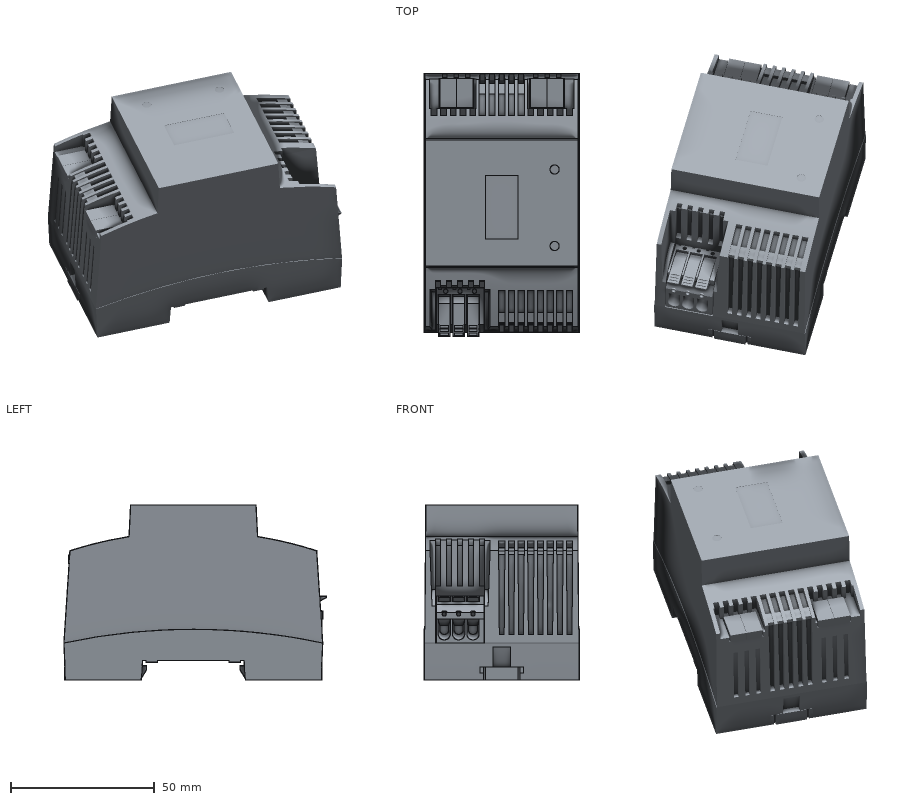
import cadquery as cq
import math

LENGTH = 91.45
HEIGHT = 60.99
BASE_HALF_X = 27.0
SEAM_HALF_Y = 45.05
BOTTOM_HALF_Y = 44.5
SEAM_Z = 12.9
SEAM_CROWN_Z = 17.7
COVER_HALF_X_LOW = 26.83
COVER_HALF_X_TOP = 26.45
RIDGE_HALF_Y = 42.95
RIDGE_Z = 45.0
SHOULDER_HALF_Y = 22.4
SHOULDER_Z = 49.95
TOP_HALF_Y = 21.85
SHOULDER_DROP = SHOULDER_Z - RIDGE_Z
SHOULDER_AXIS_Z = (SHOULDER_Z + RIDGE_Z) / 2 - (
    (RIDGE_HALF_Y**2 - SHOULDER_HALF_Y**2) / (2 * SHOULDER_DROP))
SHOULDER_RADIUS = math.hypot(RIDGE_HALF_Y, RIDGE_Z - SHOULDER_AXIS_Z)
CLEAR = 6.0

RAIL_HALF_Y_BOTTOM = 18.1
RAIL_HALF_Y_TOP = 17.6
RAIL_ROOF_Z = 6.75
PAD_INNER_Y = 12.4
PAD_OUTER_Y = 16.5
PAD_DROP = 0.55
LATCH_HALF_X = 5.6
LATCH_GAP = 0.7
LATCH_EAR_HALF_X = 7.6
LATCH_EAR_Z = 2.4
LATCH_Z = 4.6
LATCH_FACE_Y = 44.85
LATCH_GAP_FLOOR_Y = 43.8
HOOK_TIP_Y = 16.2
HOOK_LOW_Z = 0.6
HOOK_KNEE_Z = 3.6
HOOK_TOP_Z = 5.0
TOOL_SLOT_HALF_X = 3.0
TOOL_SLOT_TOP_Z = 11.6
TOOL_SLOT_LIP = 0.3
TOOL_SLOT_DEPTH = 2.3

MARK_DEPTH = 0.1
WINDOW_X, WINDOW_Y = 11.4, 22.0
WINDOW_CENTER_Y = -1.5
LAMP_X = 18.4
LAMP_YS = (11.65, -14.95)
LAMP_DIAMETER = 3.2

VENT_PITCH = 3.37
FRONT_VENT_COUNT = 8
BACK_VENT_COUNT = 5
VENT_WIDTH_TOP = 2.2
VENT_WIDTH_LOW = 1.7
VENT_START_Y = 30.5
VENT_BOTTOM_Z = 15.9
VENT_SHOULDER_DEPTH = 2.2
BAR_INNER_Y, BAR_INNER_Z = 38.0, 45.9
BAR_OUTER_Y, BAR_OUTER_Z = 41.6, 44.9
BAR_LOW_Y, BAR_LOW_Z = 41.7, 43.7
VENT_FLOOR_TOP_Y = 40.9
VENT_FLOOR_LOW_Y = 42.4

BAY_CENTER_X = -14.5
BAY_HALF_X_TOP = 10.45
BAY_HALF_X_LOW = 9.75
BAY_BACK_TOP_Y = -30.0
BAY_BACK_LOW_Y = -31.0
LEDGE_BACK_Z = 31.5
LEDGE_MID_Y, LEDGE_MID_Z = -39.5, 29.6
LEDGE_FRONT_Y, LEDGE_FRONT_Z = -44.5, 25.4
CORE_HALF_X = 8.58
CORE_BACK_TOP_Y = -28.6
CORE_BACK_LOW_Y = -29.6
COMB_COUNT = 5
COMB_PITCH = 3.82
COMB_WIDTH = 1.8
COMB_BACK_Y = -26.9
COMB_STEP_Z = 46.8
COMB_STEP_DEPTH = 0.35
COMB_FLOOR_Z = 32.7

PLUG_HALF_X = 8.28
PLUG_TOP_Z = 29.3
PLUG_BROW_Y = -42.3
PLUG_BROW_Z = 26.3
PLUG_NOSE_Y = -45.1
PLUG_NOSE_TOP_Z = 23.6
PLUG_NOSE_LOW_Z = 21.2
PLUG_FACE_Y = -44.8
POLE_PITCH = 5.0
POLE_CENTER_X = -15.0
POLE_COUNT = 3

LEVER_WIDTH = 4.0
LEVER_GAP = 0.25
LEVER_HEEL = 0.55
LEVER_POCKET_BACK_Y = -31.8
LEVER_POCKET_DEPTH = 2.0
LEVER_FLAT_START_Y = -35.0
LEVER_BACK_Z = 28.2
LEVER_TOP_Z = 29.2
LEVER_TIP_Y = SEAM_HALF_Y - LENGTH
LEVER_TIP_Z = 28.8
LEVER_ROOT_Y = -43.8
GRIP_WIDTH = 2.9
GRIP_DEPTH = 0.35
GRIP_LENGTH = 0.8
GRIP_PITCH = 1.3
GRIP_FIRST_Y = -43.0
GRIP_COUNT = 3

TEST_Z = 22.95
TEST_BOSS_RADIUS = 1.15
TEST_BOSS_LENGTH = 1.6
TEST_HOLE_DIAMETER = 1.4
TEST_HOLE_DEPTH = 2.0
TOP_HOLE_DIAMETER = 1.5
TOP_HOLE_DEPTH = 2.0
TOP_HOLE_Y = -30.7
TOP_HOLE_SHIFT_X = 0.5
NOTCH_WIDTH, NOTCH_LENGTH, NOTCH_DEPTH = 1.0, 0.5, 0.5
NOTCH_SHIFT_X = -1.5

FUNNEL_WIDTH, FUNNEL_LOW_Z, FUNNEL_TOP_Z = 4.3, 14.0, 21.2
THROAT_WIDTH, THROAT_LOW_Z, THROAT_TOP_Z = 3.1, 15.9, 19.0
FUNNEL_DEPTH = 4.0

BACK_BAY_X = (9.0, 25.1)
BACK_BAY_Y = 32.9
BACK_BAY_FLOOR_Z = 42.5
BACK_COMB_FIRST = 3
BACK_COMB_COUNT = 5
BACK_COMB_WIDTH = 2.0
BACK_KEY_X = (10.0, 21.5)
BACK_KEY_Y = (33.25, 43.35)
BACK_KEY_TOP_Z = 43.6
BACK_KEY_GAP = 0.1
BACK_MOAT_WIDTH = 0.3
BACK_MOAT_DEPTH = 2.0
BACK_GROOVE_CENTER_X = 15.8
BACK_GROOVE_PITCH = 4.0
BACK_GROOVE_COUNT = 3
BACK_GROOVE_WIDTH = 1.6
BACK_GROOVE_FLOOR_Y = 43.3
BACK_GROOVE_Z = (15.9, 35.5)


def box(x_range, y_range, z_range):
    """Axis-aligned box given by its limits."""
    (x0, x1), (y0, y1), (z0, z1) = x_range, y_range, z_range
    return cq.Workplane("XY").box(x1 - x0, y1 - y0, z1 - z0, centered=False).translate((x0, y0, z0))


def centered(middle, width):
    """Limits of a span given by its middle and width."""
    return (middle - width / 2, middle + width / 2)


def prism_x(x_range, outline):
    """Closed YZ outline swept along X between two limits."""
    x0, x1 = x_range
    return outline.close().extrude(x1 - x0).translate((x0, 0, 0))


def yz(y, z):
    return cq.Workplane("YZ").moveTo(y, z)


def spaced(count, pitch, center=0.0):
    """Evenly spaced positions about a center."""
    return [center + (i - (count - 1) / 2) * pitch for i in range(count)]


def shoulder_z(y, depth=0.0):
    """Height of the curved shoulder, or of a surface a given depth under it."""
    return SHOULDER_AXIS_Z + math.sqrt((SHOULDER_RADIUS - depth)**2 - y**2)


def mirror_y(solid):
    return solid.mirror("XZ")


def mirror_x(solid):
    return solid.mirror("YZ")


def make_base():
    outline = (yz(-BOTTOM_HALF_Y, 0).lineTo(-SEAM_HALF_Y, SEAM_Z)
               .threePointArc((0, SEAM_CROWN_Z), (SEAM_HALF_Y, SEAM_Z))
               .lineTo(BOTTOM_HALF_Y, 0).lineTo(RAIL_HALF_Y_BOTTOM, 0)
               .lineTo(RAIL_HALF_Y_TOP, RAIL_ROOF_Z).lineTo(-RAIL_HALF_Y_TOP, RAIL_ROOF_Z)
               .lineTo(-RAIL_HALF_Y_BOTTOM, 0))
    base = prism_x((-BASE_HALF_X, BASE_HALF_X), outline)
    pad = box((-BASE_HALF_X, BASE_HALF_X), (PAD_INNER_Y, PAD_OUTER_Y),
              (RAIL_ROOF_Z - PAD_DROP, RAIL_ROOF_Z))
    return base.union(pad).union(mirror_y(pad))


def make_cover():
    """Upper housing: stepped side outline, side walls drafted inward toward the top."""
    mid_y = (SHOULDER_HALF_Y + RIDGE_HALF_Y) / 2
    mid_z = shoulder_z(mid_y)
    outline = (yz(-SEAM_HALF_Y, SEAM_Z).lineTo(-RIDGE_HALF_Y, RIDGE_Z)
               .threePointArc((-mid_y, mid_z), (-SHOULDER_HALF_Y, SHOULDER_Z))
               .lineTo(-TOP_HALF_Y, HEIGHT).lineTo(TOP_HALF_Y, HEIGHT)
               .lineTo(SHOULDER_HALF_Y, SHOULDER_Z)
               .threePointArc((mid_y, mid_z), (RIDGE_HALF_Y, RIDGE_Z))
               .lineTo(SEAM_HALF_Y, SEAM_Z))
    length = prism_x((-BASE_HALF_X, BASE_HALF_X), outline)
    draft = (cq.Workplane("XZ")
             .polyline([(-COVER_HALF_X_LOW, SEAM_Z), (COVER_HALF_X_LOW, SEAM_Z),
                        (COVER_HALF_X_TOP, HEIGHT), (-COVER_HALF_X_TOP, HEIGHT)])
             .close().extrude(SEAM_HALF_Y, both=True))
    return length.intersect(draft)


def cut_top_marks(body):
    window = (cq.Workplane("XY", origin=(0, WINDOW_CENTER_Y, HEIGHT - MARK_DEPTH))
              .rect(WINDOW_X, WINDOW_Y).extrude(CLEAR))
    lamps = (cq.Workplane("XY", origin=(0, 0, HEIGHT - MARK_DEPTH))
             .pushPoints([(LAMP_X, y) for y in LAMP_YS]).circle(LAMP_DIAMETER / 2).extrude(CLEAR))
    return body.cut(window).cut(lamps)


def vent_slot(x):
    """One -Y vent: shoulder slot and wall slot either side of a sunken bar."""
    roof_z = SHOULDER_Z + CLEAR
    mid_y = (VENT_START_Y + BAR_INNER_Y) / 2
    outline = (yz(-VENT_START_Y, roof_z)
               .lineTo(-VENT_START_Y, shoulder_z(VENT_START_Y, VENT_SHOULDER_DEPTH))
               .threePointArc((-mid_y, shoulder_z(mid_y, VENT_SHOULDER_DEPTH)),
                              (-BAR_INNER_Y, shoulder_z(BAR_INNER_Y, VENT_SHOULDER_DEPTH)))
               .lineTo(-BAR_INNER_Y, BAR_INNER_Z).lineTo(-BAR_OUTER_Y, BAR_OUTER_Z)
               .lineTo(-BAR_LOW_Y, BAR_LOW_Z).lineTo(-VENT_FLOOR_TOP_Y, BAR_LOW_Z)
               .lineTo(-VENT_FLOOR_LOW_Y, VENT_BOTTOM_Z)
               .lineTo(-SEAM_HALF_Y - CLEAR, VENT_BOTTOM_Z)
               .lineTo(-SEAM_HALF_Y - CLEAR, roof_z))
    taper = (cq.Workplane("XZ")
             .polyline([(x - VENT_WIDTH_LOW / 2, VENT_BOTTOM_Z), (x + VENT_WIDTH_LOW / 2, VENT_BOTTOM_Z),
                        (x + VENT_WIDTH_TOP / 2, RIDGE_Z), (x + VENT_WIDTH_TOP / 2, roof_z),
                        (x - VENT_WIDTH_TOP / 2, roof_z), (x - VENT_WIDTH_TOP / 2, RIDGE_Z)])
             .close().extrude(SEAM_HALF_Y + CLEAR))
    return prism_x(centered(x, VENT_WIDTH_TOP), outline).intersect(taper)


def cut_vents(body):
    for i in range(FRONT_VENT_COUNT):
        body = body.cut(vent_slot(i * VENT_PITCH))
    for x in spaced(BACK_VENT_COUNT, VENT_PITCH):
        body = body.cut(mirror_y(vent_slot(x)))
    return body


def cut_front_bay(body):
    """Open bay with curved side ledges, a deeper core and comb slots in its back wall."""
    roof_z = SHOULDER_Z + CLEAR
    out_y = -SEAM_HALF_Y - CLEAR
    bay = (yz(BAY_BACK_TOP_Y, roof_z).lineTo(BAY_BACK_TOP_Y, SHOULDER_Z)
           .lineTo(BAY_BACK_LOW_Y, LEDGE_BACK_Z)
           .threePointArc((LEDGE_MID_Y, LEDGE_MID_Z), (LEDGE_FRONT_Y, LEDGE_FRONT_Z))
           .lineTo(out_y, LEDGE_FRONT_Z).lineTo(out_y, roof_z))
    core = (yz(CORE_BACK_TOP_Y, roof_z).lineTo(CORE_BACK_TOP_Y, SHOULDER_Z)
            .lineTo(CORE_BACK_LOW_Y, PLUG_TOP_Z).lineTo(CORE_BACK_LOW_Y, SEAM_Z)
            .lineTo(out_y, SEAM_Z).lineTo(out_y, roof_z))
    bay_draft = (cq.Workplane("XZ", origin=(BAY_CENTER_X, 0, 0))
                 .polyline([(-BAY_HALF_X_LOW, LEDGE_FRONT_Z), (BAY_HALF_X_LOW, LEDGE_FRONT_Z),
                            (BAY_HALF_X_TOP, RIDGE_Z), (BAY_HALF_X_TOP, roof_z),
                            (-BAY_HALF_X_TOP, roof_z), (-BAY_HALF_X_TOP, RIDGE_Z)])
                 .close().extrude(-out_y))
    body = body.cut(prism_x(centered(BAY_CENTER_X, 2 * BAY_HALF_X_TOP), bay).intersect(bay_draft))
    body = body.cut(prism_x(centered(BAY_CENTER_X, 2 * CORE_HALF_X), core))
    for x in spaced(COMB_COUNT, COMB_PITCH, BAY_CENTER_X):
        low_slot = box(centered(x, COMB_WIDTH), (BAY_BACK_TOP_Y, COMB_BACK_Y - COMB_STEP_DEPTH),
                       (COMB_FLOOR_Z, COMB_STEP_Z))
        top_slot = box(centered(x, COMB_WIDTH), (BAY_BACK_TOP_Y, COMB_BACK_Y), (COMB_STEP_Z, roof_z))
        body = body.cut(low_slot).cut(top_slot)
    return body


def throat_outline(plane, x, width, low_z, top_z):
    """Wire opening: flat on top, semicircular at the bottom."""
    radius = width / 2
    return (plane.moveTo(x - radius, top_z).lineTo(x - radius, low_z + radius)
            .threePointArc((x, low_z), (x + radius, low_z + radius))
            .lineTo(x + radius, top_z).close())


def wire_funnel(x):
    mouth = throat_outline(cq.Workplane("XZ", origin=(0, PLUG_FACE_Y, 0)),
                           x, FUNNEL_WIDTH, FUNNEL_LOW_Z, FUNNEL_TOP_Z)
    inner = mouth.workplane(offset=-FUNNEL_DEPTH)
    return throat_outline(inner, x, THROAT_WIDTH, THROAT_LOW_Z, THROAT_TOP_Z).loft(ruled=True)


def lever(x):
    """Release lever with a wedge-shaped tip and grip grooves."""
    floor_z = PLUG_TOP_Z - LEVER_POCKET_DEPTH
    outline = (yz(LEVER_POCKET_BACK_Y - LEVER_GAP, floor_z)
               .lineTo(LEVER_POCKET_BACK_Y - LEVER_GAP, LEVER_BACK_Z)
               .lineTo(LEVER_POCKET_BACK_Y - LEVER_GAP - LEVER_HEEL, LEVER_BACK_Z)
               .lineTo(LEVER_FLAT_START_Y, LEVER_TOP_Z).lineTo(LEVER_TIP_Y, LEVER_TOP_Z)
               .lineTo(LEVER_TIP_Y, LEVER_TIP_Z).lineTo(LEVER_ROOT_Y, floor_z))
    arm = prism_x(centered(x, LEVER_WIDTH), outline)
    for i in range(GRIP_COUNT):
        y = GRIP_FIRST_Y - i * GRIP_PITCH
        groove = box(centered(x, GRIP_WIDTH),
                     centered(y, GRIP_LENGTH),
                     (LEVER_TOP_Z - GRIP_DEPTH, LEVER_TOP_Z + CLEAR))
        arm = arm.cut(groove)
    return arm


def y_cylinder(x, z, front_y, radius, length):
    """Cylinder along Y running inward from front_y."""
    return cq.Workplane("XZ", origin=(x, front_y, z)).circle(radius).extrude(-length)


def make_plug():
    outline = (yz(CORE_BACK_LOW_Y, SEAM_Z).lineTo(CORE_BACK_LOW_Y, PLUG_TOP_Z)
               .lineTo(PLUG_BROW_Y, PLUG_TOP_Z).lineTo(PLUG_BROW_Y, PLUG_BROW_Z)
               .lineTo(PLUG_NOSE_Y, PLUG_NOSE_TOP_Z).lineTo(PLUG_NOSE_Y, PLUG_NOSE_LOW_Z)
               .lineTo(PLUG_FACE_Y, PLUG_NOSE_LOW_Z).lineTo(PLUG_FACE_Y, SEAM_Z))
    plug = prism_x(centered(BAY_CENTER_X, 2 * PLUG_HALF_X), outline)
    for x in spaced(POLE_COUNT, POLE_PITCH, POLE_CENTER_X):
        pocket = box(centered(x, LEVER_WIDTH + 2 * LEVER_GAP),
                     (PLUG_NOSE_Y, LEVER_POCKET_BACK_Y),
                     (PLUG_TOP_Z - LEVER_POCKET_DEPTH, PLUG_TOP_Z + CLEAR))
        top_hole = (cq.Workplane("XY", origin=(x + TOP_HOLE_SHIFT_X, TOP_HOLE_Y, PLUG_TOP_Z))
                    .circle(TOP_HOLE_DIAMETER / 2).extrude(-TOP_HOLE_DEPTH))
        notch = box(centered(x + NOTCH_SHIFT_X, NOTCH_WIDTH),
                    (CORE_BACK_LOW_Y - NOTCH_LENGTH, CORE_BACK_LOW_Y),
                    (PLUG_TOP_Z - NOTCH_DEPTH, PLUG_TOP_Z))
        plug = plug.cut(pocket).cut(notch).union(lever(x)).cut(top_hole)
        plug = plug.union(y_cylinder(x, TEST_Z, PLUG_NOSE_Y, TEST_BOSS_RADIUS, TEST_BOSS_LENGTH))
        plug = plug.cut(y_cylinder(x, TEST_Z, PLUG_NOSE_Y, TEST_HOLE_DIAMETER / 2, TEST_HOLE_DEPTH))
        plug = plug.cut(wire_funnel(x))
    return plug


def cut_back_bay(body, side):
    """Shallow back bay on one side of the middle: comb slots, two keys, wall grooves."""
    def place(solid):
        return mirror_x(solid) if side < 0 else solid

    bay_z = (BACK_BAY_FLOOR_Z, SHOULDER_Z + CLEAR)
    body = body.cut(place(box(BACK_BAY_X, (BACK_BAY_Y, SEAM_HALF_Y), bay_z)))
    for i in range(BACK_COMB_COUNT):
        x = (BACK_COMB_FIRST + i) * VENT_PITCH
        comb = box(centered(x, BACK_COMB_WIDTH),
                   (VENT_START_Y, BACK_BAY_Y), bay_z)
        body = body.cut(place(comb))
    for x in spaced(BACK_GROOVE_COUNT, BACK_GROOVE_PITCH, BACK_GROOVE_CENTER_X):
        groove = box(centered(x, BACK_GROOVE_WIDTH),
                     (BACK_GROOVE_FLOOR_Y, SEAM_HALF_Y), BACK_GROOVE_Z)
        body = body.cut(place(groove))
    key_mid_x = sum(BACK_KEY_X) / 2
    key_z = (BACK_BAY_FLOOR_Z - BACK_MOAT_DEPTH, BACK_KEY_TOP_Z)
    moat = box((BACK_KEY_X[0] - BACK_MOAT_WIDTH, BACK_KEY_X[1] + BACK_MOAT_WIDTH),
               (BACK_BAY_Y, BACK_KEY_Y[1]), key_z)
    body = body.cut(place(moat))
    inner_key = box((BACK_KEY_X[0], key_mid_x - BACK_KEY_GAP / 2), BACK_KEY_Y, key_z)
    outer_key = box((key_mid_x + BACK_KEY_GAP / 2, BACK_KEY_X[1]), BACK_KEY_Y, key_z)
    return body.union(place(inner_key)).union(place(outer_key))


def add_latch(body, place):
    """Foot latch on one end wall: face plate, ears, tool slot and rail hook."""
    gap_half_x = LATCH_HALF_X + LATCH_GAP
    gap = box((-gap_half_x, gap_half_x), (-SEAM_HALF_Y, -LATCH_GAP_FLOOR_Y), (0, LATCH_Z))
    plate = box((-LATCH_HALF_X, LATCH_HALF_X), (-LATCH_FACE_Y, -LATCH_GAP_FLOOR_Y), (0, LATCH_Z))
    ear = box((gap_half_x, LATCH_EAR_HALF_X), (-LATCH_FACE_Y, -LATCH_GAP_FLOOR_Y), (LATCH_EAR_Z, LATCH_Z))
    tool_slot = prism_x((-TOOL_SLOT_HALF_X, TOOL_SLOT_HALF_X),
                        yz(-SEAM_HALF_Y - CLEAR, TOOL_SLOT_TOP_Z)
                        .lineTo(TOOL_SLOT_LIP - SEAM_HALF_Y, TOOL_SLOT_TOP_Z)
                        .lineTo(TOOL_SLOT_DEPTH - SEAM_HALF_Y, LATCH_Z)
                        .lineTo(-SEAM_HALF_Y - CLEAR, LATCH_Z))
    hook = prism_x((-LATCH_HALF_X, LATCH_HALF_X),
                   yz(-RAIL_HALF_Y_BOTTOM, HOOK_LOW_Z).lineTo(-HOOK_TIP_Y, HOOK_KNEE_Z)
                   .lineTo(-HOOK_TIP_Y, HOOK_TOP_Z).lineTo(-RAIL_HALF_Y_BOTTOM, HOOK_TOP_Z))
    for cutter in (gap, tool_slot):
        body = body.cut(place(cutter))
    for piece in (plate, ear, mirror_x(ear), hook):
        body = body.union(place(piece))
    return body


cover = cut_vents(cut_top_marks(make_cover()))
cover = cut_front_bay(cover)
for bay_side in (-1, 1):
    cover = cut_back_bay(cover, bay_side)
housing = cover.union(make_base()).union(make_plug())
housing = add_latch(housing, lambda solid: solid)
housing = add_latch(housing, mirror_y)
result = housing